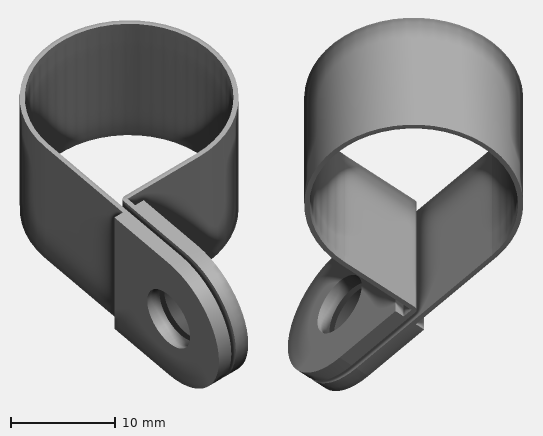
import cadquery as cq

overall_length = 37.7
band_width = 15.0
ring_radius = 10.48
thickness = 0.5
pad_step = 1.05
pad_start = 11.6
tab_gap = 0.55
hole_diameter = 6.4

inner_radius = ring_radius - thickness
tip_x = overall_length - ring_radius
end_radius = band_width / 2
hole_x = tip_x - end_radius
lower_outer_y = -ring_radius
lower_inner_y = lower_outer_y + thickness
upper_inner_y = lower_inner_y + tab_gap
upper_outer_y = upper_inner_y + thickness
diagonal = 0.5 ** 0.5
bend_radius = thickness
bend_offset = bend_radius * diagonal


def make_band():
    """Loop with straight tangents, thickened into two facing tabs."""
    profile = (
        cq.Workplane("XY")
        .moveTo(0, lower_outer_y)
        .lineTo(pad_start, lower_outer_y)
        .lineTo(pad_start, lower_outer_y - pad_step)
        .lineTo(tip_x, lower_outer_y - pad_step)
        .lineTo(tip_x, lower_inner_y)
        .lineTo(0, lower_inner_y)
        .threePointArc((-inner_radius * diagonal, inner_radius * diagonal), (inner_radius, 0))
        .lineTo(inner_radius, upper_inner_y + bend_radius)
        .threePointArc(
            (ring_radius - bend_offset, upper_outer_y - bend_offset),
            (inner_radius + bend_radius, upper_inner_y),
        )
        .lineTo(tip_x, upper_inner_y)
        .lineTo(tip_x, upper_outer_y + pad_step)
        .lineTo(pad_start, upper_outer_y + pad_step)
        .lineTo(pad_start, upper_outer_y)
        .lineTo(ring_radius, upper_outer_y)
        .lineTo(ring_radius, 0)
        .threePointArc((-ring_radius * diagonal, ring_radius * diagonal), (0, lower_outer_y))
        .close()
    )
    return profile.extrude(end_radius, both=True)


def make_side_outline():
    """Rounded-end envelope of the clamp in XZ, pierced by the bolt hole."""
    return (
        cq.Workplane("XZ")
        .moveTo(-ring_radius, -end_radius)
        .lineTo(hole_x, -end_radius)
        .threePointArc((tip_x, 0), (hole_x, end_radius))
        .lineTo(-ring_radius, end_radius)
        .close()
        .moveTo(hole_x, 0)
        .circle(hole_diameter / 2)
        .extrude(ring_radius + pad_step, both=True)
    )


result = make_band().intersect(make_side_outline())